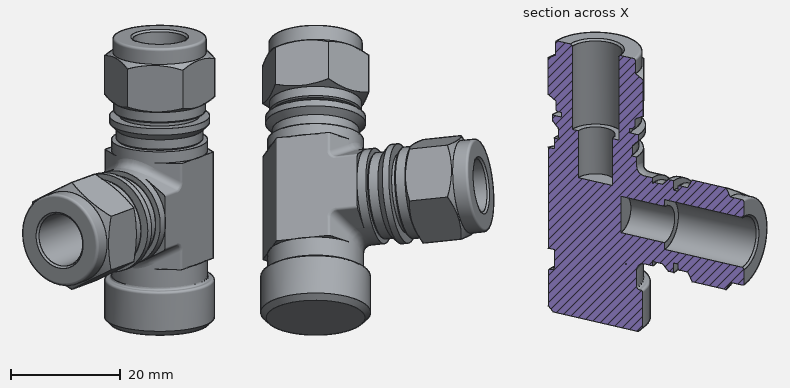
import cadquery as cq
import math

ORIGIN = (0, 0, 0)
X_AXIS = (1, 0, 0)
Z_AXIS = (0, 0, 1)

TOTAL_HEIGHT = 53.8
ARM_LENGTH = 31.4
BOTTOM_Z = ARM_LENGTH - TOTAL_HEIGHT

NECK_RADIUS = 17.5 / 2
BLOCK_HALF_WIDTH = 8.585
BLOCK_HALF_HEIGHT = 10.0
BACK_RIDGE_Y = 10.0
BACK_CORNER_Y = 4.85
BRANCH_BLOCK_END = 10.45
RUN_SEAM = 90
BRANCH_SEAM = 180
VALLEY_FILLET = 1.5
FRONT_EDGE_FILLET = 0.6
BACK_EDGE_FILLET = 0.19

CROWN_ANGLE = math.radians(60)
TANGENT_X = NECK_RADIUS * math.cos(CROWN_ANGLE)
TANGENT_Y = NECK_RADIUS * math.sin(CROWN_ANGLE)
FRONT_CORNER = (NECK_RADIUS - BLOCK_HALF_WIDTH * math.cos(CROWN_ANGLE)) / math.sin(CROWN_ANGLE)

NECK_END = 12.1
STEM_RADIUS = 15.8 / 2
STEM_FOOT_CHAMFER = 0.25
FLANGE_RADIUS = 18.25 / 2
FLANGE_CONE_START = 14.15
FLANGE_CONE_END = FLANGE_CONE_START + FLANGE_RADIUS - STEM_RADIUS
FLANGE_END = 16.6
GROOVE_RADIUS = 14.55 / 2
GROOVE_END = 17.4
SKIRT_RADIUS = 16.8 / 2
SKIRT_CHAMFER = 0.25

NUT_START = 19.4
NUT_HEX_END = 28.5
NUT_ACROSS_FLATS = 17.5
NUT_CORNER_RADIUS = NUT_ACROSS_FLATS / math.sqrt(3)
CORNER_TURN = 30
NUT_BEVEL_ANGLE = 30.0
NUT_CAP_RADIUS = 17.0 / 2
NUT_CAP_FILLET = 0.5

SOCKET_RADIUS = 9.75 / 2
SOCKET_DEPTH = 16.8
SOCKET_CHAMFER = 0.4
BORE_RADIUS = 7.1 / 2
BORE_END = 5.4

COLLAR_RADIUS = 20.0 / 2
COLLAR_TOP_Z = -14.0
COLLAR_TOP_FILLET = 0.5
COLLAR_NECK_FILLET = 0.5
COLLAR_BOTTOM_CHAMFER = 1.0


def add_crown(outline):
    """Continue an outline over a crown: side flat, sloped flat, arc, sloped flat, side flat."""
    outline = outline.lineTo(-BLOCK_HALF_WIDTH, -FRONT_CORNER)
    outline = outline.lineTo(-TANGENT_X, -TANGENT_Y)
    outline = outline.threePointArc((0, -NECK_RADIUS), (TANGENT_X, -TANGENT_Y))
    return outline.lineTo(BLOCK_HALF_WIDTH, -FRONT_CORNER)


def run_block():
    """Block along Z with a sharp ridge at the back and a crown at the front."""
    outline = cq.Workplane("XY").moveTo(0, BACK_RIDGE_Y).lineTo(-BLOCK_HALF_WIDTH, BACK_CORNER_Y)
    outline = add_crown(outline).lineTo(BLOCK_HALF_WIDTH, BACK_CORNER_Y).close()
    return outline.extrude(BLOCK_HALF_HEIGHT, both=True)


def branch_block():
    """Block along -Y with a crown above and a crown below."""
    outline = cq.Workplane("XZ").moveTo(BLOCK_HALF_WIDTH, 0).lineTo(-BLOCK_HALF_WIDTH, 0)
    lower_half = add_crown(outline).close().extrude(BRANCH_BLOCK_END)
    return lower_half.union(lower_half.mirror("XY"))


def neck(start, end, seam_angle):
    """Round neck along +Z; the seam of its round face is turned from X by the given angle."""
    cylinder = cq.Workplane("XY").workplane(offset=start).circle(NECK_RADIUS).extrude(end - start)
    return cylinder.rotate(ORIGIN, Z_AXIS, seam_angle)


def edges_nearest(body, points):
    """Edges of the body, one for each point, whose middle lies closest to that point."""
    edges = body.newObject([])
    for point in points:
        edges = edges.add(body.edges(cq.selectors.NearestToPointSelector(point)))
    return edges


def centre_body():
    """Crossed blocks with their necks, rounded along the valleys and the side edges."""
    body = run_block().union(branch_block()).clean()
    body = body.union(neck(BLOCK_HALF_HEIGHT, NECK_END, RUN_SEAM))
    body = body.union(neck(COLLAR_TOP_Z, -BLOCK_HALF_HEIGHT, RUN_SEAM)).clean()

    signs = (-1, 1)
    valley_x = (TANGENT_X + BLOCK_HALF_WIDTH) / 2
    valley_y = (TANGENT_Y + FRONT_CORNER) / 2
    valleys = [(x * valley_x, -valley_y, z * valley_y) for x in signs for z in signs]
    body = edges_nearest(body, valleys).fillet(VALLEY_FILLET)

    back_edges = [(x * BLOCK_HALF_WIDTH, BACK_CORNER_Y, 0) for x in signs]
    body = edges_nearest(body, back_edges).fillet(BACK_EDGE_FILLET)
    middle = (FRONT_CORNER + BLOCK_HALF_HEIGHT) / 2
    front_edges = [(x * BLOCK_HALF_WIDTH, -FRONT_CORNER, z * middle) for x in signs for z in signs]
    body = edges_nearest(body, front_edges).fillet(FRONT_EDGE_FILLET)
    return body.union(along_branch(neck(BRANCH_BLOCK_END, NECK_END, BRANCH_SEAM))).clean()


def arm():
    """Turned stem and hexagonal nut of one arm, along +Z."""
    stem = (
        cq.Workplane("XZ")
        .moveTo(0, 0)
        .lineTo(STEM_RADIUS - STEM_FOOT_CHAMFER, 0)
        .lineTo(STEM_RADIUS - STEM_FOOT_CHAMFER, NECK_END)
        .lineTo(STEM_RADIUS, NECK_END + STEM_FOOT_CHAMFER)
        .lineTo(STEM_RADIUS, FLANGE_CONE_START)
        .lineTo(FLANGE_RADIUS, FLANGE_CONE_END)
        .lineTo(FLANGE_RADIUS, FLANGE_END)
        .lineTo(GROOVE_RADIUS, FLANGE_END)
        .lineTo(GROOVE_RADIUS, GROOVE_END)
        .lineTo(SKIRT_RADIUS - SKIRT_CHAMFER, GROOVE_END)
        .lineTo(SKIRT_RADIUS, GROOVE_END + SKIRT_CHAMFER)
        .lineTo(SKIRT_RADIUS, NUT_START)
        .lineTo(0, NUT_START)
        .close()
        .revolve()
    )
    return stem.union(nut())


def nut():
    """Hexagon with corners on Y, bevelled at both ends, and a round cap."""
    bevel_slope = math.tan(math.radians(NUT_BEVEL_ANGLE))
    start_bevel = (NUT_CORNER_RADIUS - SKIRT_RADIUS) * bevel_slope
    end_bevel = (NUT_CORNER_RADIUS - NUT_CAP_RADIUS) * bevel_slope
    hexagon = cq.Workplane("XY").workplane(offset=NUT_START)
    hexagon = hexagon.polygon(6, 2 * NUT_CORNER_RADIUS).extrude(NUT_HEX_END - NUT_START)
    hexagon = hexagon.rotate(ORIGIN, Z_AXIS, CORNER_TURN)
    envelope = (
        cq.Workplane("XZ")
        .moveTo(0, NUT_START)
        .lineTo(SKIRT_RADIUS, NUT_START)
        .lineTo(NUT_CORNER_RADIUS, NUT_START + start_bevel)
        .lineTo(NUT_CORNER_RADIUS, NUT_HEX_END - end_bevel)
        .lineTo(NUT_CAP_RADIUS, NUT_HEX_END)
        .lineTo(0, NUT_HEX_END)
        .close()
        .revolve()
    )
    cap = cq.Workplane("XY").workplane(offset=NUT_HEX_END).circle(NUT_CAP_RADIUS)
    cap = cap.extrude(ARM_LENGTH - NUT_HEX_END).faces(">Z").edges().fillet(NUT_CAP_FILLET)
    return hexagon.intersect(envelope).union(cap)


def socket():
    """Stepped tube socket of one arm, a tool along +Z with a bevelled mouth."""
    shoulder = ARM_LENGTH - SOCKET_DEPTH
    return (
        cq.Workplane("XZ")
        .moveTo(0, BORE_END)
        .lineTo(BORE_RADIUS, BORE_END)
        .lineTo(BORE_RADIUS, shoulder)
        .lineTo(SOCKET_RADIUS, shoulder)
        .lineTo(SOCKET_RADIUS, ARM_LENGTH - SOCKET_CHAMFER)
        .lineTo(SOCKET_RADIUS + SOCKET_CHAMFER, ARM_LENGTH)
        .lineTo(0, ARM_LENGTH)
        .close()
        .revolve()
    )


def bottom_collar():
    """Round collar at the lower end, with a concave fillet up to the neck."""
    ring = cq.Workplane("XY").workplane(offset=BOTTOM_Z).circle(COLLAR_RADIUS)
    ring = ring.extrude(COLLAR_TOP_Z - BOTTOM_Z)
    ring = ring.faces(">Z").edges().fillet(COLLAR_TOP_FILLET)
    ring = ring.faces("<Z").edges().chamfer(COLLAR_BOTTOM_CHAMFER)
    arc_reach = COLLAR_NECK_FILLET * (1 - math.sqrt(0.5))
    skirt = (
        cq.Workplane("XZ")
        .moveTo(0, COLLAR_TOP_Z)
        .lineTo(NECK_RADIUS + COLLAR_NECK_FILLET, COLLAR_TOP_Z)
        .threePointArc(
            (NECK_RADIUS + arc_reach, COLLAR_TOP_Z + arc_reach),
            (NECK_RADIUS, COLLAR_TOP_Z + COLLAR_NECK_FILLET),
        )
        .lineTo(0, COLLAR_TOP_Z + COLLAR_NECK_FILLET)
        .close()
        .revolve()
    )
    return ring.union(skirt)


def along_branch(part):
    """Turn a part from +Z to -Y."""
    return part.rotate(ORIGIN, X_AXIS, 90)


result = centre_body().union(bottom_collar())
result = result.union(arm()).union(along_branch(arm()))
result = result.cut(socket()).cut(along_branch(socket())).clean()